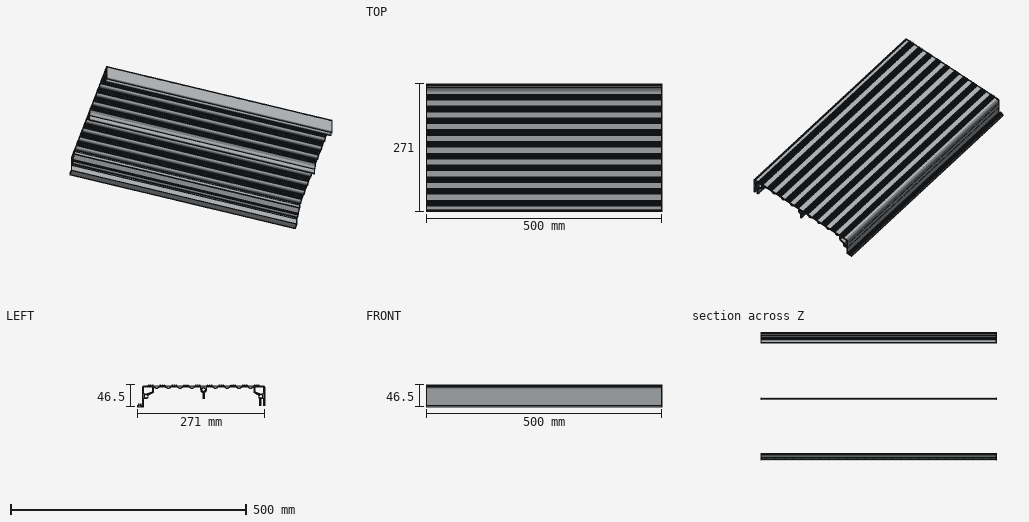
import cadquery as cq
import math


length = 500.0
body_width = 260.0
foot_reach = 11.0
total_height = 46.5

rib_height = 1.5
deck_thickness = 2.0
corner_radius = 4.0
root_radius = 1.5
tip_radius = 0.8

front_wall_thickness = 3.0
rear_wall_thickness = 2.0
front_wall_bottom = 3.0

group_pitch = 25.0
group_count = 10
ribs_per_group = 3
rib_pitch = 4.3
rib_width = 3.0
rib_crest_width = 0.8
stiffener_top_width = 13.0
stiffener_bottom_width = 3.4
stiffener_depth = 4.0
stiffener_tip_bulge = 0.5

channel_diameter = 7.3
center_channel_z = 37.0
center_ring_diameter = 12.4
stem_width = 3.0
stem_bottom = 18.0
side_channel_inset = 5.5
side_channel_z = 23.0
side_ring_diameter = 10.0
side_slot_width = 3.8

web_thickness = 2.0
web_y = 108.0
web_bottom = 32.0
thick_wall_upper_taper = 2.0
thick_wall_lower_taper = 1.0

leg_width = 3.0
leg_y = -120.2

foot_thickness = 3.0
pedestal_offset = 5.8
pedestal_width = 5.4
pedestal_top = 6.0
groove_width = 2.4
groove_depth = 1.5

half_width = body_width / 2
deck_top = total_height - rib_height
deck_bottom = deck_top - deck_thickness
channel_radius = channel_diameter / 2

overlap = 0.3


def section():
    """Sketch plane of the cross section: local x is Y, local y is Z."""
    return cq.Workplane("YZ", origin=(-length / 2, 0, 0))


def prism(points):
    return section().polyline(points).close().extrude(length)


def bar(y_min, y_max, z_min, z_max):
    return prism([(y_min, z_min), (y_max, z_min), (y_max, z_max), (y_min, z_max)])


def rod(y, z, diameter):
    return section().center(y, z).circle(diameter / 2).extrude(length)


def rounded_bar(y_min, y_max, z_min, z_max):
    """Bar with both lower edges rounded."""
    return bar(y_min, y_max, z_min, z_max).edges("|X and <Z").fillet(tip_radius)


def root_fillet(y, z, side):
    """Concave fill under a horizontal face, on the given side of an upright face."""
    bend = root_radius * (1 - math.sqrt(0.5))
    return (
        section()
        .moveTo(y - side * overlap, z + overlap)
        .lineTo(y + side * root_radius, z + overlap)
        .lineTo(y + side * root_radius, z)
        .threePointArc((y + side * bend, z - bend), (y, z - root_radius))
        .lineTo(y - side * overlap, z - root_radius)
        .close()
        .extrude(length)
    )


def shell():
    """Deck plate and both side walls, with rounded outer top corners."""
    front_inner = -half_width + front_wall_thickness
    rear_inner = half_width - rear_wall_thickness
    deck = bar(-half_width, half_width, deck_bottom, deck_top)
    front_wall = rounded_bar(-half_width, front_inner, front_wall_bottom, deck_top)
    rear_wall = bar(rear_inner, half_width, 0, deck_top)
    body = deck.union(front_wall).union(rear_wall).clean()
    body = body.faces(">Z").edges("|X").fillet(corner_radius)
    return body.union(root_fillet(rear_inner, deck_bottom, -1))


def grip_rib(y):
    """Tapered rib with a narrow flat crest, standing on the deck."""
    return prism([
        (y - rib_width / 2, deck_top - overlap),
        (y - rib_width / 2, deck_top),
        (y - rib_crest_width / 2, total_height),
        (y + rib_crest_width / 2, total_height),
        (y + rib_width / 2, deck_top),
        (y + rib_width / 2, deck_top - overlap),
    ])


def stiffener(y):
    """Tapered bead under the deck with a rounded lower end."""
    half_top = stiffener_top_width / 2
    half_bottom = stiffener_bottom_width / 2
    tip = deck_bottom - stiffener_depth
    return (
        section()
        .moveTo(y - half_top, deck_bottom + overlap)
        .lineTo(y - half_top, deck_bottom)
        .lineTo(y - half_bottom, tip + stiffener_tip_bulge)
        .threePointArc((y, tip), (y + half_bottom, tip + stiffener_tip_bulge))
        .lineTo(y + half_top, deck_bottom)
        .lineTo(y + half_top, deck_bottom + overlap)
        .close()
        .extrude(length)
    )


def center_channel():
    """Closed screw channel under the deck with a stem hanging from it."""
    half_ring = center_ring_diameter / 2
    body = bar(-half_ring, half_ring, center_channel_z, deck_bottom + overlap)
    body = body.union(rounded_bar(-stem_width / 2, stem_width / 2, stem_bottom, center_channel_z))
    body = body.union(rod(0, center_channel_z, center_ring_diameter))
    for side in (-1, 1):
        body = body.union(root_fillet(side * half_ring, deck_bottom, side))
    return body.cut(rod(0, center_channel_z, channel_diameter))


def side_channel(side, wall_thickness):
    """Slotted screw channel on a side wall, tied to the deck by a bent web."""
    center_y = side * (half_width - wall_thickness - side_channel_inset)
    half_ring = side_ring_diameter / 2
    wall_face = side * (half_width - wall_thickness + overlap)
    thick_face = center_y + side * channel_radius

    ring = rod(center_y, side_channel_z, side_ring_diameter)
    thick_wall = prism([
        (wall_face, side_channel_z - half_ring - thick_wall_lower_taper),
        (thick_face, side_channel_z - channel_radius),
        (thick_face, side_channel_z + half_ring),
        (wall_face, side_channel_z + half_ring + thick_wall_upper_taper),
    ])
    web_inner = side * (web_y - web_thickness / 2)
    web_outer = side * (web_y + web_thickness / 2)
    ring_top = side_channel_z + half_ring
    web = prism([
        (web_inner, deck_bottom + overlap),
        (web_inner, web_bottom - web_thickness / 2),
        (center_y - side * channel_radius, side_channel_z + side_slot_width / 2),
        (center_y, side_channel_z + channel_radius),
        (center_y, ring_top),
        (center_y - side * channel_radius / 2, ring_top),
        (web_outer, web_bottom),
        (web_outer, deck_bottom + overlap),
    ])
    web = web.union(root_fillet(web_inner, deck_bottom, -side))
    web = web.union(root_fillet(web_outer, deck_bottom, side))
    slot = bar(
        center_y,
        center_y - side * side_ring_diameter,
        side_channel_z - side_slot_width / 2,
        side_channel_z + side_slot_width / 2,
    )
    bore = rod(center_y, side_channel_z, channel_diameter)
    return ring.union(thick_wall).union(web).cut(bore).cut(slot)


def hanging_leg():
    """Leg below the front screw channel, parallel to the front wall."""
    leg_top = side_channel_z - channel_radius - overlap
    return rounded_bar(leg_y - leg_width / 2, leg_y + leg_width / 2, front_wall_bottom, leg_top)


def foot():
    """Outward foot of the rear wall with a grooved pedestal on top."""
    pedestal_y = half_width + pedestal_offset
    plate = bar(half_width - overlap, half_width + foot_reach, 0, foot_thickness)
    plate = plate.faces(">Y").edges("|X").fillet(tip_radius)
    pedestal = bar(
        pedestal_y - pedestal_width / 2,
        pedestal_y + pedestal_width / 2,
        0,
        pedestal_top,
    )
    groove = bar(
        pedestal_y - groove_width / 2,
        pedestal_y + groove_width / 2,
        pedestal_top - groove_depth,
        pedestal_top,
    )
    return plate.union(pedestal).cut(groove)


result = shell()
for group in range(group_count):
    group_y = (group - (group_count - 1) / 2) * group_pitch
    for rib in range(ribs_per_group):
        result = result.union(grip_rib(group_y + (rib - (ribs_per_group - 1) / 2) * rib_pitch))
for step in range(1, group_count // 2):
    result = result.union(stiffener(step * group_pitch))
    result = result.union(stiffener(-step * group_pitch))
result = result.union(center_channel())
result = result.union(side_channel(1, rear_wall_thickness))
result = result.union(side_channel(-1, front_wall_thickness))
result = result.union(hanging_leg())
result = result.union(foot())